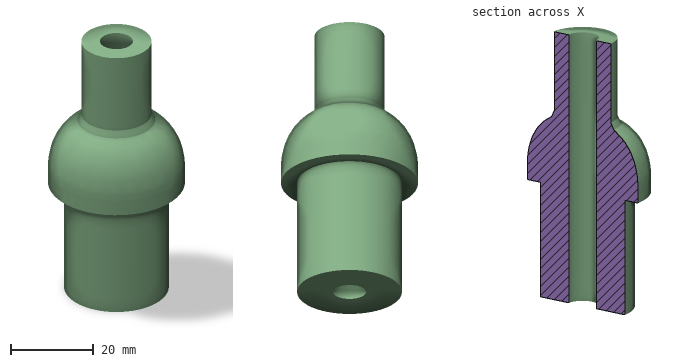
import math

import cadquery as cq

spigot_radius = 25.4 / 2
spigot_height = 29.0
collar_radius = 33.2 / 2
collar_height = 4.0
dome_height = 13.3
dome_top_radius = 9.38
cone_height = 1.7
neck_radius = 17.0 / 2
neck_height = 20.0
bore_radius = 8.0 / 2

dome_top_slope = 29.0
dome_lower_handle = 6.2
dome_upper_handle = 5.1

collar_top = spigot_height + collar_height
dome_top = collar_top + dome_height
neck_bottom = dome_top + cone_height
total_height = neck_bottom + neck_height


def dome_controls():
    """Control points (radius, z) of the dome curve, which leaves the collar rim vertically."""
    slope = math.radians(dome_top_slope)
    lower_control = (collar_radius, collar_top + dome_lower_handle)
    upper_control = (
        dome_top_radius + dome_upper_handle * math.cos(slope),
        dome_top - dome_upper_handle * math.sin(slope),
    )
    return [
        (collar_radius, collar_top),
        lower_control,
        upper_control,
        (dome_top_radius, dome_top),
    ]


def make_body():
    """Revolve the spigot, collar, dome, short cone and neck."""
    profile = (
        cq.Workplane("XZ")
        .lineTo(spigot_radius, 0)
        .lineTo(spigot_radius, spigot_height)
        .lineTo(collar_radius, spigot_height)
        .lineTo(collar_radius, collar_top)
        .bezier(dome_controls())
        .lineTo(neck_radius, neck_bottom)
        .lineTo(neck_radius, total_height)
        .lineTo(0, total_height)
        .close()
    )
    return profile.revolve(360, (0, 0, 0), (0, 1, 0))


def make_bore():
    """Cylinder for the bore that runs the full height of the part."""
    return cq.Workplane("XY").circle(bore_radius).extrude(total_height)


result = make_body().cut(make_bore())